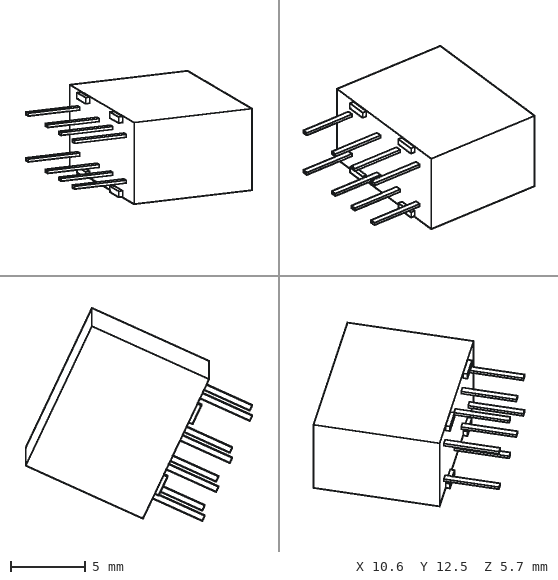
import cadquery as cq

body_width = 10.6
body_height = 5.7
overall_length = 12.5
pin_length = 3.8
body_length = overall_length - pin_length

pin_width = 0.4
pin_thickness = 0.2
pin_pitch = 2.2
coil_pin_gap = 3.2
row_spacing = 3.2
pin_row_span = coil_pin_gap + 2 * pin_pitch
first_pin_x = -pin_row_span / 2
second_pin_x = first_pin_x + coil_pin_gap
pin_xs = [first_pin_x] + [second_pin_x + i * pin_pitch for i in range(3)]

foot_width = 1.42
foot_height = 0.42
foot_length = 0.3
foot_spacing = 5.42
foot_edge_gap = 0.05
foot_z = body_height / 2 - foot_edge_gap - foot_height / 2


def blocks_on_terminal_face(points, width, height, length):
    """Rectangular blocks rising from the terminal face (Y = 0) towards -Y."""
    return cq.Workplane("XZ").pushPoints(points).rect(width, height).extrude(length)


body = cq.Workplane("XZ").rect(body_width, body_height).extrude(-body_length)

pin_points = [(x, side * row_spacing / 2) for x in pin_xs for side in (-1, 1)]
pins = blocks_on_terminal_face(pin_points, pin_width, pin_thickness, pin_length)

foot_points = [(x_side * foot_spacing / 2, z_side * foot_z) for x_side in (-1, 1) for z_side in (-1, 1)]
feet = blocks_on_terminal_face(foot_points, foot_width, foot_height, foot_length)

result = body.union(pins).union(feet)